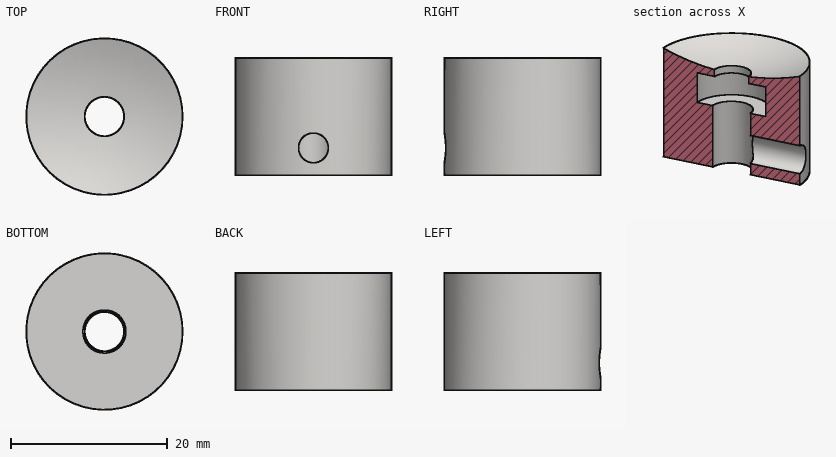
import cadquery as cq

body_diameter = 20.0
body_height = 15.0

dish_depth = 1.6

mouth_diameter = 5.0
chamber_diameter = 10.0
bore_diameter = 5.5
chamber_top_height = 12.5
chamber_floor_height = 8.5

screw_hole_diameter = 3.8
screw_hole_height = 3.5

body_radius = body_diameter / 2
dish_radius = (body_radius**2 + dish_depth**2) / (2 * dish_depth)


def make_body():
    return cq.Workplane("XY").circle(body_radius).extrude(body_height)


def make_dish():
    center_height = body_height - dish_depth + dish_radius
    return cq.Workplane("XY").sphere(dish_radius).translate((0, 0, center_height))


def make_bore():
    mouth = cq.Workplane("XY").circle(mouth_diameter / 2).extrude(body_height)
    bore = cq.Workplane("XY").circle(bore_diameter / 2).extrude(chamber_floor_height)
    chamber = (
        cq.Workplane("XY", origin=(0, 0, chamber_floor_height))
        .circle(chamber_diameter / 2)
        .extrude(chamber_top_height - chamber_floor_height)
    )
    return mouth.union(chamber).union(bore)


def make_screw_hole():
    return (
        cq.Workplane("XZ")
        .center(0, screw_hole_height)
        .circle(screw_hole_diameter / 2)
        .extrude(body_diameter)
    )


result = make_body().cut(make_dish()).cut(make_bore()).cut(make_screw_hole())